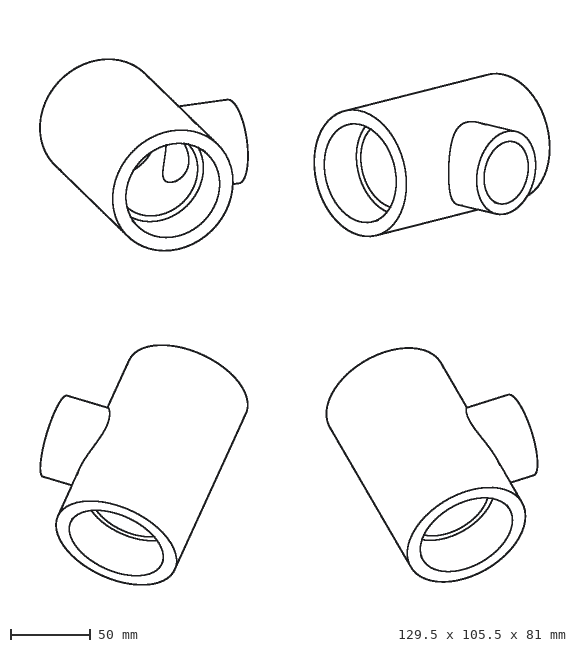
import cadquery as cq

run_length = 129.5
run_diameter = 81.0
socket_diameter = 63.1
socket_depth = 29.0
bore_diameter = 55.4

branch_diameter = 53.4
branch_reach = 65.0
branch_bore_diameter = 40.0


def cylinder_along_x(diameter, start, length):
    return cq.Workplane("YZ").workplane(offset=start).circle(diameter / 2).extrude(length)


def cylinder_along_y(diameter, length):
    """Cylinder from the run axis towards +Y."""
    return cq.Workplane("XZ").circle(diameter / 2).extrude(-length)


run_start = -run_length / 2
body = cylinder_along_x(run_diameter, run_start, run_length)
body = body.union(cylinder_along_y(branch_diameter, branch_reach))

body = body.cut(cylinder_along_x(bore_diameter, run_start, run_length))
for socket_start in (run_start, -run_start - socket_depth):
    body = body.cut(cylinder_along_x(socket_diameter, socket_start, socket_depth))

result = body.cut(cylinder_along_y(branch_bore_diameter, branch_reach))